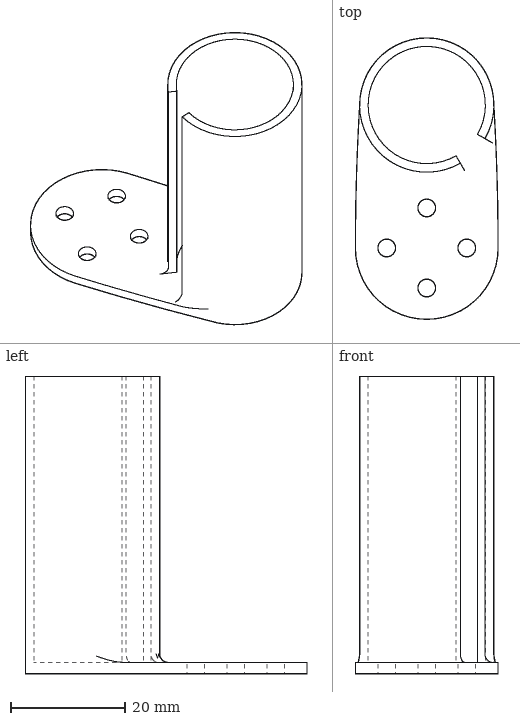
import cadquery as cq
import math

tube_outer_radius = 11.75
tube_wall = 1.5
tube_inner_radius = tube_outer_radius - tube_wall
total_height = 52.0

plate_thickness = 2.0
tab_radius = 12.5
tab_offset = 25.0

root_fillet = 1.5

slot_start_angle = -60.0
slot_end_angle = -30.0

hole_diameter = 3.05
hole_circle_radius = 7.0
hole_count = 4


def plate_outline(height):
    """Plate footprint, extruded up from Z = 0; its bowed sides are tangent to the tab's round end."""
    widening = tab_radius - tube_outer_radius
    side_radius = (tab_offset**2 + widening**2) / (2 * widening)
    side_middle_y = -tab_offset / 2
    side_middle_x = tab_radius - side_radius + math.sqrt(side_radius**2 - side_middle_y**2)
    return (
        cq.Workplane("XY")
        .moveTo(-tube_outer_radius, 0)
        .threePointArc((0, tube_outer_radius), (tube_outer_radius, 0))
        .threePointArc((side_middle_x, side_middle_y), (tab_radius, -tab_offset))
        .threePointArc((0, -tab_offset - tab_radius), (-tab_radius, -tab_offset))
        .threePointArc((-side_middle_x, side_middle_y), (-tube_outer_radius, 0))
        .close()
        .extrude(height)
    )


def tube_body():
    """Solid column from the plate's underside to the open top; the bore is cut later."""
    return cq.Workplane("XY").circle(tube_outer_radius).extrude(total_height)


def bore():
    """Bore of the tube, stopping at the plate's top face."""
    return (
        cq.Workplane("XY", origin=(0, 0, plate_thickness))
        .circle(tube_inner_radius)
        .extrude(total_height - plate_thickness)
    )


def root_fillet_ring():
    """Concave fillet around the tab-side half of the tube, trimmed to the plate's sides."""
    fillet_top = plate_thickness + root_fillet
    fillet_outer_radius = tube_outer_radius + root_fillet
    middle_of_wall = tube_outer_radius - tube_wall / 2
    arc_reach = root_fillet * (1 - math.sqrt(0.5))
    arc_middle = (tube_outer_radius + arc_reach, plate_thickness + arc_reach)
    half_ring = (
        cq.Workplane("XZ")
        .moveTo(middle_of_wall, plate_thickness)
        .lineTo(fillet_outer_radius, plate_thickness)
        .threePointArc(arc_middle, (tube_outer_radius, fillet_top))
        .lineTo(middle_of_wall, fillet_top)
        .close()
        .revolve(180, (0, 0, 0), (0, -1, 0))
    )
    return half_ring.intersect(plate_outline(fillet_top))


def slot_cutter():
    """Wedge between the slot's radial faces, from the plate's top face upward."""
    reach = 2 * tube_outer_radius
    corners = [(0, 0)]
    for angle in (slot_start_angle, slot_end_angle):
        direction = math.radians(angle)
        corners.append((reach * math.cos(direction), reach * math.sin(direction)))
    return (
        cq.Workplane("XY", origin=(0, 0, plate_thickness))
        .polyline(corners)
        .close()
        .extrude(total_height - plate_thickness)
    )


def mounting_holes():
    """Through holes on a circle centred on the tab."""
    return (
        cq.Workplane("XY", origin=(0, -tab_offset, 0))
        .polarArray(hole_circle_radius, 0, 360, hole_count)
        .circle(hole_diameter / 2)
        .extrude(plate_thickness)
    )


result = (
    tube_body()
    .union(plate_outline(plate_thickness))
    .union(root_fillet_ring())
    .cut(bore())
    .cut(slot_cutter())
    .cut(mounting_holes())
    .clean()
)